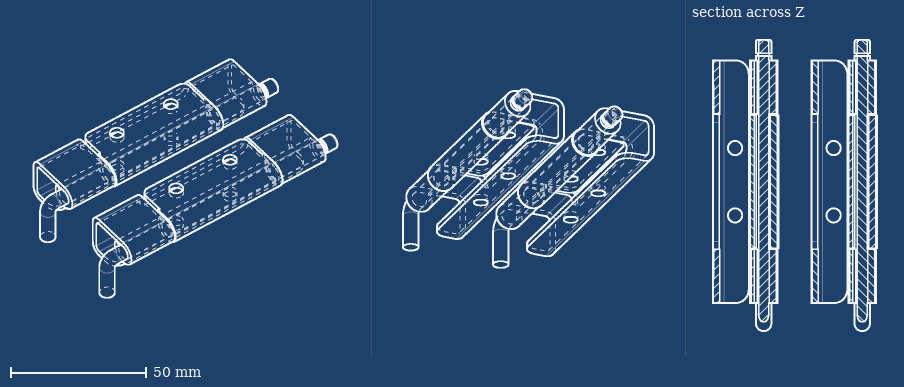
import cadquery as cq
import math


HINGE_COUNT = 2
HINGE_PITCH = 36.5

PIN_RADIUS = 2.9
PIN_TOTAL_LENGTH = 108.0
PIN_TIP_OVERHANG = 7.7
PIN_LEG_END_Z = -16.5
PIN_BEND_RADIUS = 3.3
PIN_TIP_ROUNDING = 1.0
GROOVE_RADIUS = 2.2
GROOVE_WIDTH = 1.0
GROOVE_FROM_TIP = 5.1

SHEET = 2.3
BRACKET_LENGTH = 90.0
BRACKET_LEFT_X = -18.8
BRACKET_BOTTOM_Z = -13.5
BEND_OUTER_RADIUS = 4.0
BEND_INNER_RADIUS = BEND_OUTER_RADIUS - SHEET
FLANGE_END_X = -5.5
FLANGE_CORNER_RADIUS = 5.0
SLOT_LENGTH = 50.0
SLOT_BOTTOM_Z = -1.6
SLOT_CORNER_RADIUS = 3.0

LEAF_CLEARANCE = 0.3
LEAF_LENGTH = 49.4
LEAF_LEFT_X = -17.1
LEAF_NECK_X = -5.7
LEAF_RELIEF = 0.9
LEAF_CORNER_RADIUS = 3.0

CURL_END = -213.0
HOLE_DIAMETER = 5.2
HOLE_SPACING = 25.0
HOLE_X = -10.6

BRACKET_CURL_INNER = PIN_RADIUS
BRACKET_CURL_OUTER = BRACKET_CURL_INNER + SHEET
LEAF_CURL_INNER = PIN_RADIUS + LEAF_CLEARANCE
LEAF_CURL_OUTER = LEAF_CURL_INNER + SHEET


def on_circle(radius, degrees):
    """Point (x, z) at an angle around the pin axis."""
    angle = math.radians(degrees)
    return (radius * math.cos(angle), radius * math.sin(angle))


def curled_plate(left_x, inner, outer, length):
    """Flat plate tangent to a curl around the pin axis, centred on Y = 0."""
    middle_angle = (90 + CURL_END) / 2
    return (
        cq.Workplane("XZ")
        .moveTo(left_x, outer)
        .lineTo(0, outer)
        .threePointArc(on_circle(outer, middle_angle), on_circle(outer, CURL_END))
        .lineTo(*on_circle(inner, CURL_END))
        .threePointArc(on_circle(inner, middle_angle), (0, inner))
        .lineTo(left_x, inner)
        .close()
        .extrude(length / 2, both=True)
    )


def box_between(x_range, y_range, z_range):
    """Box given by its limits along each axis."""
    corner = cq.Vector(x_range[0], y_range[0], z_range[0])
    size = (x_range[1] - x_range[0], y_range[1] - y_range[0], z_range[1] - z_range[0])
    return cq.Workplane(cq.Solid.makeBox(*size, corner))


def screw_holes(bottom_z):
    """Pair of hole cutters through a sheet whose lower face is at bottom_z."""
    return (
        cq.Workplane("XY", origin=(HOLE_X, 0, bottom_z))
        .pushPoints([(0, -HOLE_SPACING / 2), (0, HOLE_SPACING / 2)])
        .circle(HOLE_DIAMETER / 2)
        .extrude(SHEET)
    )


def bracket_channel():
    """Left wall and bottom flange, with the top plate up to the pin axis."""
    half_length = BRACKET_LENGTH / 2
    y_range = (-half_length, half_length)
    inside_left = BRACKET_LEFT_X + SHEET
    outside = box_between((BRACKET_LEFT_X, 0), y_range, (BRACKET_BOTTOM_Z, BRACKET_CURL_OUTER))
    outside = outside.edges("|Y and <X").fillet(BEND_OUTER_RADIUS)
    inside = box_between((inside_left, 0), y_range, (BRACKET_BOTTOM_Z + SHEET, BRACKET_CURL_INNER))
    inside = inside.edges("|Y and <X").fillet(BEND_INNER_RADIUS)
    flange_cut = box_between((FLANGE_END_X, 0), y_range, (BRACKET_BOTTOM_Z, BRACKET_CURL_INNER))
    channel = outside.cut(inside).cut(flange_cut)
    flange_end = cq.selectors.BoxSelector(
        (FLANGE_END_X - SHEET, -BRACKET_LENGTH, BRACKET_BOTTOM_Z - SHEET),
        (FLANGE_END_X + SHEET, BRACKET_LENGTH, BRACKET_BOTTOM_Z + 2 * SHEET),
    )
    return channel.edges("|Z").edges(flange_end).fillet(FLANGE_CORNER_RADIUS)


def leaf_slot():
    """Opening that runs from the left wall over the top plate and through the curl."""
    half_slot = SLOT_LENGTH / 2
    wall_opening = box_between(
        (BRACKET_LEFT_X, BRACKET_LEFT_X + BEND_OUTER_RADIUS),
        (-half_slot, half_slot),
        (SLOT_BOTTOM_Z, BRACKET_CURL_OUTER),
    ).edges("|X and <Z").fillet(SLOT_CORNER_RADIUS)
    plate_opening = box_between(
        (BRACKET_LEFT_X + BEND_OUTER_RADIUS, BRACKET_CURL_OUTER),
        (-half_slot, half_slot),
        (-BRACKET_CURL_OUTER, BRACKET_CURL_OUTER),
    )
    return wall_opening.union(plate_opening)


def make_bracket():
    """Channel with its top plate curled around the pin at both ends of the slot.

    The bottom flange has holes below those of the leaf.
    """
    plate = curled_plate(FLANGE_END_X, BRACKET_CURL_INNER, BRACKET_CURL_OUTER, BRACKET_LENGTH)
    return bracket_channel().union(plate).cut(leaf_slot()).cut(screw_holes(BRACKET_BOTTOM_Z))


def make_leaf():
    """Flat leaf with two screw holes, curled around the pin inside the bracket slot."""
    leaf = curled_plate(LEAF_LEFT_X, LEAF_CURL_INNER, LEAF_CURL_OUTER, LEAF_LENGTH)
    half_length = LEAF_LENGTH / 2
    for outer_y in (-half_length, half_length):
        inner_y = math.copysign(half_length - LEAF_RELIEF, outer_y)
        leaf = leaf.cut(
            box_between(
                (LEAF_LEFT_X, LEAF_NECK_X),
                sorted((inner_y, outer_y)),
                (LEAF_CURL_INNER, LEAF_CURL_OUTER),
            )
        )
    leaf = leaf.edges("|Z and <X").fillet(LEAF_CORNER_RADIUS)
    return leaf.cut(screw_holes(LEAF_CURL_INNER))


def make_pin():
    """Round pin bent down at its -Y end, with a grooved and rounded tip at +Y."""
    tip_y = BRACKET_LENGTH / 2 + PIN_TIP_OVERHANG
    leg_y = tip_y - PIN_TOTAL_LENGTH + PIN_RADIUS
    bend_start_y = leg_y + PIN_BEND_RADIUS
    bend_offset = PIN_BEND_RADIUS * (1 - math.sqrt(0.5))
    path = (
        cq.Workplane("YZ")
        .moveTo(tip_y, 0)
        .lineTo(bend_start_y, 0)
        .threePointArc((leg_y + bend_offset, -bend_offset), (leg_y, -PIN_BEND_RADIUS))
        .lineTo(leg_y, PIN_LEG_END_Z)
    )
    pin = cq.Workplane("XZ", origin=(0, tip_y, 0)).circle(PIN_RADIUS).sweep(path)
    pin = pin.faces(">Y").edges().fillet(PIN_TIP_ROUNDING)
    groove = (
        cq.Workplane("XZ", origin=(0, tip_y - GROOVE_FROM_TIP, 0))
        .circle(2 * PIN_RADIUS)
        .circle(GROOVE_RADIUS)
        .extrude(GROOVE_WIDTH)
    )
    return pin.cut(groove)


bodies = []
for hinge in range(HINGE_COUNT):
    hinge_place = (hinge * HINGE_PITCH, 0, 0)
    for body in (make_bracket(), make_leaf(), make_pin()):
        bodies.append(body.translate(hinge_place).solids().val())

result = cq.Compound.makeCompound(bodies)